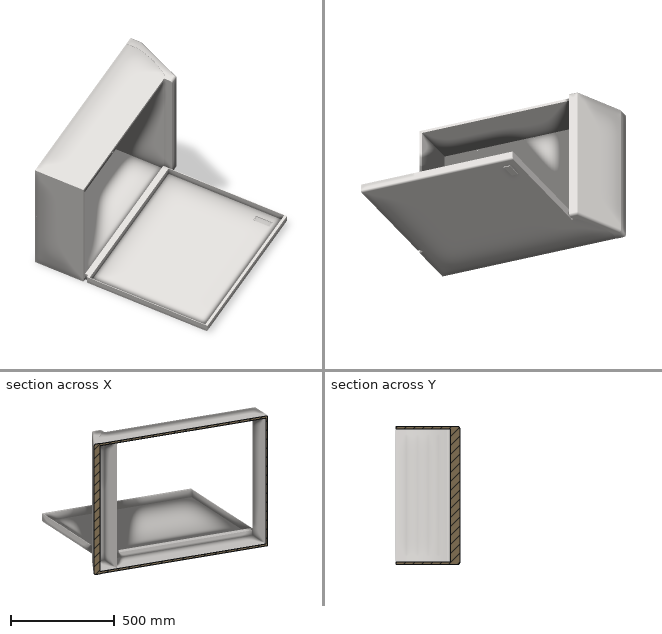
import cadquery as cq

TOTAL_WIDTH = 944.56
TOTAL_DEPTH = 974.24
TOTAL_HEIGHT = 669.93

CAP_OVERHANG = 1.5
HANDLE_DROP = 3.0
CABINET_HEIGHT = TOTAL_HEIGHT - CAP_OVERHANG - HANDLE_DROP
CABINET_WIDTH = 266.0
WALL = 13.0
BACK_SHEET = 2.5
DIVIDER = 1.2

CAP_WIDTH = 310.0
CAP_START_Y = 815.0
CAP_SHOULDER_X = 57.0
CAP_SHOULDER_Y = 860.0
CAP_EDGE_RADIUS = 12.0
CAP_SEAM_Y = 926.0
SEAM_FLAT_X = 53.0
SEAM_MIDDLE = (150.0, 899.0)
SEAM_CORNER = (251.0, 841.0)
SEAM_CORNER_MIDDLE = (261.0, 833.0)
SEAM_END_X = 262.5
SEAM_END_Y = 826.0

HOLE_INSET = 20.0
HOLE_DIAMETER = 5.0
HOLE_POSITIONS_Y = (186.0, 490.0)
KEYHOLE_Y = 782.0
KEYHOLE_DIAMETER = 9.0
KEYHOLE_SLOT_WIDTH = 5.0
KEYHOLE_SLOT_LENGTH = 12.0

SIDE_HOLE_X = 8.0
SIDE_HOLE_Z = 334.0
SIDE_HOLE_DIAMETER = 4.0
SIDE_HOLE_DEPTH = 3.0

DOOR_START_X = 283.0
DOOR_START_Y = 2.5
DOOR_END_Y = 808.0
DOOR_HEIGHT = 40.0
DOOR_BAR = 14.0
DOOR_FLOOR = 1.2
DOOR_WALL = 3.0
DOOR_EDGE_RADIUS = 9.0

HINGE_START_Y = 17.0
HINGE_END_Y = DOOR_END_Y

HANDLE_START_X = 797.0
HANDLE_START_Y = 735.0
HANDLE_LENGTH = 90.0
HANDLE_WIDTH = 32.0
HANDLE_SHEET = 1.0
HANDLE_LEDGE = 4.0
HANDLE_LEDGE_END = 7.0
HANDLE_LEDGE_RISE = 1.5


def block(x_range, y_range, z_range):
    """Axis-aligned box between the given limits."""
    (x0, x1), (y0, y1), (z0, z1) = x_range, y_range, z_range
    return cq.Workplane("XY").box(x1 - x0, y1 - y0, z1 - z0, centered=False).translate((x0, y0, z0))


def add_seam(sketch):
    """Continue an outline from (0, CAP_SEAM_Y) along the curved seam between cabinet and cap."""
    return (
        sketch.lineTo(SEAM_FLAT_X, CAP_SEAM_Y)
        .threePointArc(SEAM_MIDDLE, SEAM_CORNER)
        .threePointArc(SEAM_CORNER_MIDDLE, (SEAM_END_X, SEAM_END_Y))
        .lineTo(SEAM_END_X, CAP_START_Y)
    )


def make_main_cavity():
    return block((BACK_SHEET, CABINET_WIDTH), (WALL, CAP_START_Y - DIVIDER), (WALL, CABINET_HEIGHT - WALL))


def make_end_compartment():
    """Closed space between the main cavity and the curved seam of the cap."""
    outline = add_seam(cq.Workplane("XY").moveTo(BACK_SHEET, CAP_START_Y).lineTo(BACK_SHEET, CAP_SEAM_Y))
    return outline.close().extrude(CABINET_HEIGHT - 2 * WALL).translate((0, 0, WALL))


def make_cabinet():
    outline = add_seam(cq.Workplane("XY").lineTo(0, CAP_SEAM_Y))
    body = outline.lineTo(CABINET_WIDTH, CAP_START_Y).lineTo(CABINET_WIDTH, 0).close().extrude(CABINET_HEIGHT)
    return body.cut(make_main_cavity()).cut(make_end_compartment())


def make_cap():
    outline = add_seam(cq.Workplane("XY").moveTo(0, CAP_SEAM_Y))
    cap = (
        outline.lineTo(CAP_WIDTH, CAP_START_Y)
        .lineTo(CAP_WIDTH, CAP_SHOULDER_Y)
        .lineTo(CAP_SHOULDER_X, TOTAL_DEPTH)
        .lineTo(0, TOTAL_DEPTH)
        .close()
        .extrude(CABINET_HEIGHT + 2 * CAP_OVERHANG)
        .translate((0, 0, -CAP_OVERHANG))
    )
    outer_faces = [
        (CAP_WIDTH, (CAP_START_Y + CAP_SHOULDER_Y) / 2),
        ((CAP_WIDTH + CAP_SHOULDER_X) / 2, (TOTAL_DEPTH + CAP_SHOULDER_Y) / 2),
        (CAP_SHOULDER_X / 2, TOTAL_DEPTH),
    ]
    for z in (-CAP_OVERHANG, CABINET_HEIGHT + CAP_OVERHANG):
        edges = cq.Workplane("XY")
        for x, y in outer_faces:
            edges = edges.add(cap.edges(cq.selectors.NearestToPointSelector((x, y, z))))
        cap = cap.newObject(edges.vals()).fillet(CAP_EDGE_RADIUS)
    return cap


def make_mounting_holes():
    """Cutters for a row of round holes and one keyhole along the top and the bottom of the back sheet."""
    cutters = cq.Workplane("YZ")
    for z in (HOLE_INSET, CABINET_HEIGHT - HOLE_INSET):
        holes = cq.Workplane("YZ").pushPoints([(y, z) for y in HOLE_POSITIONS_Y])
        cutters = cutters.union(holes.circle(HOLE_DIAMETER / 2).extrude(BACK_SHEET))
        keyhole = cq.Workplane("YZ").center(KEYHOLE_Y, z).circle(KEYHOLE_DIAMETER / 2).extrude(BACK_SHEET)
        slot = block(
            (0, BACK_SHEET),
            (KEYHOLE_Y, KEYHOLE_Y + KEYHOLE_SLOT_LENGTH),
            (z - KEYHOLE_SLOT_WIDTH / 2, z + KEYHOLE_SLOT_WIDTH / 2),
        )
        cutters = cutters.union(keyhole).union(slot)
    return cutters


def make_side_hole():
    hole = cq.Workplane("XZ").center(SIDE_HOLE_X, SIDE_HOLE_Z).circle(SIDE_HOLE_DIAMETER / 2)
    return hole.extrude(-SIDE_HOLE_DEPTH)


def make_door():
    tray = block((DOOR_START_X, TOTAL_WIDTH), (DOOR_START_Y, DOOR_END_Y), (0, DOOR_HEIGHT))
    tray = tray.edges("|Y and <Z").fillet(DOOR_EDGE_RADIUS)
    inside = block(
        (DOOR_START_X + DOOR_BAR, TOTAL_WIDTH - DOOR_BAR),
        (DOOR_START_Y + DOOR_WALL, DOOR_END_Y - DOOR_WALL),
        (DOOR_FLOOR, DOOR_HEIGHT),
    )
    return tray.cut(inside)


def make_hinge():
    """Strip reaching past the rounded edge of the door so that the two merge."""
    end_x = DOOR_START_X + DOOR_EDGE_RADIUS
    return block((CABINET_WIDTH, end_x), (HINGE_START_Y, HINGE_END_Y), (0, DOOR_HEIGHT))


def add_handle(door):
    """Sink a handle cup through the door floor, with a ledge on three of its sides."""
    end_x = HANDLE_START_X + HANDLE_LENGTH
    end_y = HANDLE_START_Y + HANDLE_WIDTH
    floor_z = HANDLE_SHEET - HANDLE_DROP
    ledge_z = floor_z + HANDLE_LEDGE_RISE
    cup = block(
        (HANDLE_START_X - HANDLE_SHEET, end_x + HANDLE_SHEET),
        (HANDLE_START_Y - HANDLE_SHEET, end_y + HANDLE_SHEET),
        (-HANDLE_DROP, DOOR_FLOOR),
    )
    opening = block((HANDLE_START_X, end_x), (HANDLE_START_Y, end_y), (ledge_z, DOOR_FLOOR))
    well = block(
        (HANDLE_START_X + HANDLE_LEDGE, end_x - HANDLE_LEDGE),
        (HANDLE_START_Y + HANDLE_LEDGE, end_y),
        (floor_z, DOOR_FLOOR),
    )
    open_side = block((HANDLE_START_X, end_x), (end_y - HANDLE_LEDGE_END, end_y), (floor_z, DOOR_FLOOR))
    return door.union(cup).cut(opening).cut(well).cut(open_side)


cabinet = make_cabinet().union(make_cap())
cabinet = cabinet.cut(make_mounting_holes()).cut(make_side_hole())
result = cabinet.union(make_hinge()).union(add_handle(make_door()))